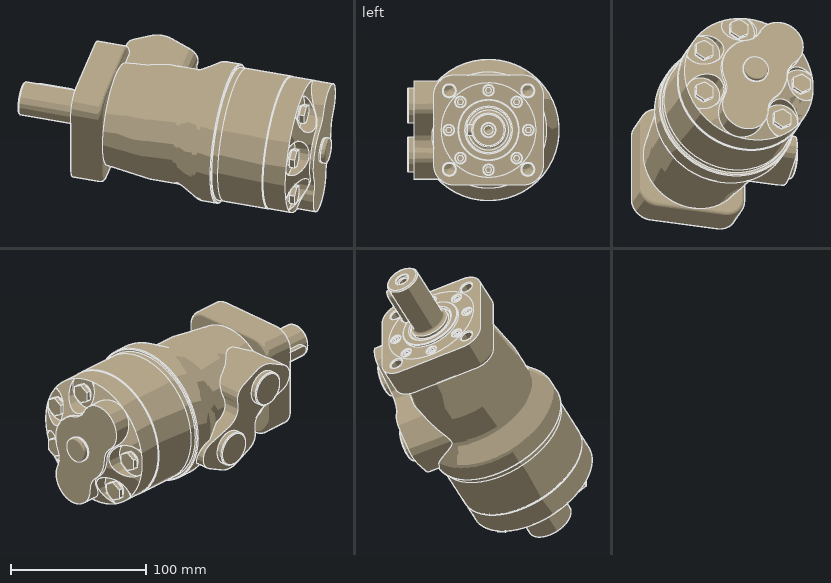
import cadquery as cq
import math

flare_start = 42.8
hub_start = 46.3
flange_start = 48.5
flange_end = 72.2
taper_end = 105.5
shoulder_start = 129.5
shoulder_end = 145.7
housing_end = 159.1
spacer_end = 163.5
gear_end = 197.7
cover_rim_end = 215.3
cover_cone_end = 227.3
cover_end = 230.0
plug_neck_end = 231.3
total_length = 235.0

flange_width = 81.3
flange_corner_radius = 15.0
flange_back_fillet = 3.0
mount_hole_diameter = 9.0
mount_hole_spacing = 58.0
mount_hole_offset = mount_hole_spacing / 2
mount_hole_depth = 14.0
mount_hole_chamfer = 0.7
drill_point_angle = 118
taper_start_diameter = 76.9
barrel_diameter = 86.0
housing_diameter = 104.5
shoulder_fillet = 8.0
housing_rim_chamfer = 0.7

port_block_center_x = 110.2
port_offset = 18.0
port_block_top = 55.2
total_width = 112.4
port_top = total_width - housing_diameter / 2
port_diameter = 26.0
port_chamfer = 0.7
port_lobe_radius = 18.3
port_lobe_end_radius = 11.0
port_lobe_end_distance = 16.7
port_web_slope = 18
port_root_radius = 13.6
joint_tolerance = 0.02

shaft_diameter = 25.0
shaft_chamfer = 1.0
shoulder_diameter = 29.5
flare_radius = 2.0
center_hole_diameter = 6.5
center_hole_depth = 14.0
center_recess_diameter = 10.0
center_recess_depth = 2.4
center_recess_chamfer = 0.5
key_length = 31.5
key_width = 8.0
key_start = 5.6
key_height = 15.5

front_cover_diameter = 70.0
front_cover_thickness = 9.5
hub_diameter = 45.1
hub_chamfer = 0.5
seal_recess_diameter = 33.4
seal_recess_depth = 1.2
seal_recess_chamfer = 1.0
screw_count = 8
screw_circle_radius = 29.4
screw_recess_diameter = 7.5
screw_recess_chamfer = 0.5
screw_recess_depth = 0.7
screw_socket_width = 4.0
screw_socket_depth = 2.4

gear_diameter = 100.0
end_cover_diameter = 99.5
end_cover_chamfer = 0.7
end_hub_diameter = 50.0
end_lobe_radius = 17.6
end_lobe_distance = 32.0
end_lobe_root_radius = 16.0
bolt_count = 7
bolt_pitch = 360 / bolt_count
bolt_circle_radius = 39.5
bolt_pocket_diameter = 26.0
bolt_head_height = 5.2
bolt_washer_height = 1.2
bolt_washer_diameter = 12.0
bolt_head_width = 13.0
lobe_steps = (1, 5)
bolt_steps = [step for step in range(bolt_count) if step not in lobe_steps]
plug_diameter = 19.0
plug_neck_diameter = 18.0
plug_fillet = 1.2


def polar(radius, degrees, center=(0, 0)):
    """Point at the given distance and direction from a center."""
    angle = math.radians(degrees)
    return (center[0] + radius * math.cos(angle), center[1] + radius * math.sin(angle))


def across_axis(x):
    """Work plane facing along +X at station x, with local axes Y and Z."""
    return cq.Workplane("YZ", origin=(x, 0, 0))


def rod(start, end, diameter):
    """Cylinder around the motor axis."""
    return across_axis(start).circle(diameter / 2).extrude(end - start)


def hexagon(width):
    """Diameter of the corner circle of a hexagon with the given width across flats."""
    return width / math.cos(math.radians(30))


def hole(start, diameter, depth, chamfer=0, pointed=True):
    """Blind hole along X on the motor axis, with a chamfered mouth and a drill point or a flat bottom."""
    radius = diameter / 2
    point_length = radius / math.tan(math.radians(drill_point_angle / 2)) if pointed else 0
    outline = cq.Workplane("XY").moveTo(start, 0).lineTo(start, radius + chamfer)
    if chamfer:
        outline = outline.lineTo(start + chamfer, radius)
    outline = outline.lineTo(start + depth, radius).lineTo(start + depth + point_length, 0)
    return outline.close().revolve(360, (0, 0, 0), (1, 0, 0))


def mounting_flange():
    """Square flange with rounded corners and a rounded back edge."""
    flange = across_axis(flange_start).rect(flange_width, flange_width).extrude(flange_end - flange_start)
    flange = flange.edges("|X").fillet(flange_corner_radius)
    return flange.faces(">X").edges().fillet(flange_back_fillet)


def barrel():
    """Turned part of the housing behind the flange."""
    barrel_radius = barrel_diameter / 2
    rim_radius = housing_diameter / 2
    bend = math.atan2(rim_radius - barrel_radius, shoulder_end - shoulder_start)
    setback = shoulder_fillet * math.tan(bend / 2)
    dx = setback * math.cos(bend)
    dr = setback * math.sin(bend)
    return (
        cq.Workplane("XY")
        .moveTo(flange_start, 0)
        .lineTo(flange_start, taper_start_diameter / 2)
        .lineTo(flange_end, taper_start_diameter / 2)
        .lineTo(taper_end, barrel_radius)
        .lineTo(shoulder_start - setback, barrel_radius)
        .tangentArcPoint((shoulder_start + dx, barrel_radius + dr), relative=False)
        .lineTo(shoulder_end - dx, rim_radius - dr)
        .tangentArcPoint((shoulder_end + setback, rim_radius), relative=False)
        .lineTo(housing_end - housing_rim_chamfer, rim_radius)
        .lineTo(housing_end, rim_radius - housing_rim_chamfer)
        .lineTo(housing_end, 0)
        .close()
        .revolve(360, (0, 0, 0), (1, 0, 0))
    )


def port_block():
    """Block under the two ports. Outline coordinates are X and Z from the block center."""
    lobe = (-port_offset, port_offset)
    left_end = (lobe[0] - port_lobe_end_distance, lobe[1])
    right_end = (lobe[0] + port_lobe_end_distance, lobe[1])
    lean = math.degrees(math.asin((port_lobe_radius - port_lobe_end_radius) / port_lobe_end_distance))

    web_normal = 90 - port_web_slope
    web_start = polar(port_lobe_end_radius, web_normal + 180, left_end)
    unit = polar(1, web_normal)
    along = polar(1, -port_web_slope)
    web_distance = -(unit[0] * web_start[0] + unit[1] * web_start[1])
    rise = web_distance + port_root_radius - (unit[0] * right_end[0] + unit[1] * right_end[1])
    reach = math.sqrt((port_lobe_end_radius + port_root_radius) ** 2 - rise ** 2)
    root = (
        right_end[0] + rise * unit[0] + reach * along[0],
        right_end[1] + rise * unit[1] + reach * along[1],
    )
    root_direction = math.degrees(math.atan2(root[1] - right_end[1], root[0] - right_end[0]))

    arcs = [
        (left_end, port_lobe_end_radius, web_normal + 180, 90 + lean),
        (lobe, port_lobe_radius, 90 + lean, 90 - lean),
        (right_end, port_lobe_end_radius, 90 - lean, root_direction),
        (root, port_root_radius, root_direction + 180, web_normal + 180),
    ]
    pen = web_start
    outline = cq.Workplane("XZ", origin=(port_block_center_x, 0, 0)).moveTo(*web_start)
    for turn in (0, 180):
        for center, radius, first, last in arcs:
            turned_center = (-center[0], -center[1]) if turn else center
            start, middle, end = (
                polar(radius, angle + turn, turned_center) for angle in (first, (first + last) / 2, last)
            )
            if math.dist(pen, start) > joint_tolerance:
                outline = outline.lineTo(*start)
            outline = outline.threePointArc(middle, end)
            pen = end
    return outline.close().extrude(-port_block_top)


def make_housing():
    """Flange, barrel, port block and ports, bored for the front cover and the shaft shoulder."""
    housing = mounting_flange().union(barrel()).union(port_block())
    for side in (1, -1):
        port = (
            cq.Workplane("XZ", origin=(port_block_center_x - side * port_offset, 0, side * port_offset))
            .workplane(offset=-port_block_top)
            .circle(port_diameter / 2)
            .extrude(port_block_top - port_top)
            .faces(">Y")
            .chamfer(port_chamfer)
        )
        housing = housing.union(port)
    mount_hole = hole(flange_start, mount_hole_diameter, mount_hole_depth, mount_hole_chamfer)
    for y in (-mount_hole_offset, mount_hole_offset):
        for z in (-mount_hole_offset, mount_hole_offset):
            housing = housing.cut(mount_hole.translate((0, y, z)))
    housing = housing.cut(rod(flange_start, flange_start + front_cover_thickness, front_cover_diameter))
    return housing.cut(rod(flange_start, flange_end, shoulder_diameter))


def make_front_cover():
    """Disc flush with the flange, with a raised hub, a seal recess and socket screws."""
    cover = rod(flange_start, flange_start + front_cover_thickness, front_cover_diameter)
    hub = rod(hub_start, flange_start, hub_diameter).faces("<X").chamfer(hub_chamfer)
    cover = cover.union(hub)
    cover = cover.cut(
        hole(hub_start, seal_recess_diameter, seal_recess_depth, seal_recess_chamfer, pointed=False)
    )
    screw = hole(flange_start, screw_recess_diameter, screw_recess_depth, screw_recess_chamfer, pointed=False)
    socket = across_axis(flange_start).polygon(6, hexagon(screw_socket_width)).extrude(screw_socket_depth)
    for number in range(screw_count):
        y, z = polar(screw_circle_radius, number * 360 / screw_count)
        cover = cover.cut(screw.translate((0, y, z))).cut(socket.translate((0, y, z)))
    return cover.cut(rod(hub_start, flange_end, shoulder_diameter))


def make_shaft():
    """Shaft stub that flares through a concave fillet into the shoulder running in the housing."""
    radius = shaft_diameter / 2
    flare_end = flare_start + flare_radius
    flare_middle = polar(flare_radius, -45, (flare_start, radius + flare_radius))
    shaft = (
        cq.Workplane("XY")
        .lineTo(0, radius - shaft_chamfer)
        .lineTo(shaft_chamfer, radius)
        .lineTo(flare_start, radius)
        .threePointArc(flare_middle, (flare_end, radius + flare_radius))
        .lineTo(flare_end, shoulder_diameter / 2)
        .lineTo(flange_end, shoulder_diameter / 2)
        .lineTo(flange_end, 0)
        .close()
        .revolve(360, (0, 0, 0), (1, 0, 0))
    )
    key = (
        cq.Workplane("XZ", origin=(key_start + key_length / 2, 0, 0))
        .slot2D(key_length, key_width)
        .extrude(-key_height)
    )
    shaft = shaft.union(key)
    shaft = shaft.cut(
        hole(0, center_recess_diameter, center_recess_depth, center_recess_chamfer, pointed=False)
    )
    return shaft.cut(hole(0, center_hole_diameter, center_hole_depth))


def make_spacer():
    return rod(housing_end, spacer_end, gear_diameter)


def make_gear_ring():
    return rod(spacer_end, gear_end, gear_diameter)


def cover_lobe():
    """Round boss beside the hub, blended into it by a concave arc on each side, pointing along +Y."""
    hub_radius = end_hub_diameter / 2
    hub_to_root = hub_radius + end_lobe_root_radius
    lobe_to_root = end_lobe_radius + end_lobe_root_radius
    spread = math.degrees(math.acos(
        (hub_to_root ** 2 + end_lobe_distance ** 2 - lobe_to_root ** 2)
        / (2 * hub_to_root * end_lobe_distance)
    ))
    lobe_center = (end_lobe_distance, 0)
    root = polar(hub_to_root, spread)
    root_direction = math.degrees(math.atan2(root[1], root[0] - end_lobe_distance))
    root_middle = (spread + root_direction) / 2 + 180
    hub_x, hub_y = polar(hub_radius, spread)
    blend_x, blend_y = polar(end_lobe_root_radius, root_middle, root)
    lobe_x, lobe_y = polar(end_lobe_radius, root_direction, lobe_center)
    return (
        across_axis(cover_rim_end)
        .lineTo(hub_x, hub_y)
        .threePointArc((blend_x, blend_y), (lobe_x, lobe_y))
        .threePointArc((end_lobe_distance + end_lobe_radius, 0), (lobe_x, -lobe_y))
        .threePointArc((blend_x, -blend_y), (hub_x, -hub_y))
        .close()
        .extrude(cover_end - cover_rim_end)
    )


def drain_plug():
    """Round plug head on a slightly narrower neck."""
    neck = rod(cover_end, plug_neck_end, plug_neck_diameter)
    head = rod(plug_neck_end, total_length, plug_diameter).faces(">X").edges().fillet(plug_fillet)
    return neck.union(head)


def make_end_cover():
    """Rim, cone and hub with two lobes; the other bolts sit in round pockets in the cone."""
    rim_radius = end_cover_diameter / 2
    hub_radius = end_hub_diameter / 2
    profile = [
        (gear_end, 0),
        (gear_end, rim_radius - end_cover_chamfer),
        (gear_end + end_cover_chamfer, rim_radius),
        (cover_rim_end, rim_radius),
        (cover_cone_end, hub_radius),
        (cover_end, hub_radius),
        (cover_end, 0),
    ]
    cover = cq.Workplane("XY").polyline(profile).close().revolve(360, (0, 0, 0), (1, 0, 0))
    for step in lobe_steps:
        cover = cover.union(cover_lobe().rotate((0, 0, 0), (1, 0, 0), step * bolt_pitch))
    for step in bolt_steps:
        bolt_plane = across_axis(cover_rim_end).center(*polar(bolt_circle_radius, step * bolt_pitch))
        cover = cover.cut(bolt_plane.circle(bolt_pocket_diameter / 2).extrude(cover_end - cover_rim_end))
        washer = bolt_plane.circle(bolt_washer_diameter / 2).extrude(bolt_washer_height)
        head = (
            bolt_plane.transformed(offset=(0, 0, bolt_washer_height), rotate=(0, 0, 90))
            .polygon(6, hexagon(bolt_head_width))
            .extrude(bolt_head_height - bolt_washer_height)
        )
        cover = cover.union(washer).union(head)
    return cover.union(drain_plug())


housing = make_housing()
front_cover = make_front_cover()
shaft = make_shaft()
spacer = make_spacer()
gear_ring = make_gear_ring()
end_cover = make_end_cover()

result = cq.Compound.makeCompound([
    housing.solids().val(),
    front_cover.solids().val(),
    shaft.solids().val(),
    spacer.solids().val(),
    gear_ring.solids().val(),
    end_cover.solids().val(),
])